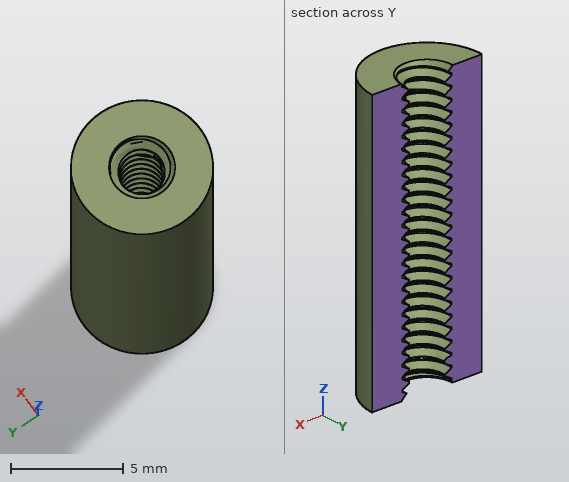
import cadquery as cq
import math

length = 15.88
body_radius = 3.18

pitch = 0.64
minor_radius = 1.02
major_radius = 1.43
root_width = pitch / 8
flank_angle = math.radians(30)
first_groove_depth = 0.13

countersink_radius = 1.48

extra_turns = 1
stock_margin = 3 * pitch
tool_overlap = 0.08


def long_tube():
    """Body and plain bore, extended past both end faces."""
    return (
        cq.Workplane("XY")
        .workplane(offset=-stock_margin)
        .circle(body_radius)
        .circle(minor_radius)
        .extrude(length + 2 * stock_margin)
    )


def groove_cutter():
    """Helical solid of trapezoid section that narrows outward to the thread root."""
    turns = math.ceil(length / pitch) + 2 * extra_turns
    bottom = length - first_groove_depth - (turns - extra_turns) * pitch
    mouth_radius = minor_radius - tool_overlap
    root_half = root_width / 2
    mouth_half = root_half + (major_radius - mouth_radius) * math.tan(flank_angle)

    section = [
        (mouth_radius, -mouth_half),
        (major_radius, -root_half),
        (major_radius, root_half),
        (mouth_radius, mouth_half),
    ]
    edges = [
        cq.Wire.makeHelix(pitch, turns * pitch, radius).translate(cq.Vector(0, 0, bottom + rise))
        for radius, rise in section
    ]
    faces = [cq.Face.makeRuledSurface(edges[i - 1], edges[i]) for i in range(len(edges))]
    for corners in ([e.startPoint() for e in edges], [e.endPoint() for e in edges]):
        faces.append(cq.Face.makeFromWires(cq.Wire.makePolygon(corners, close=True)))
    return cq.Workplane(cq.Solid.makeSolid(cq.Shell.makeShell(faces)).fix())


def top_end_cutter():
    """Everything above the top face together with the countersink cone below it."""
    tip_radius = minor_radius - tool_overlap
    tip_z = length - (countersink_radius - tip_radius)
    outer = body_radius + stock_margin
    roof = length + 2 * stock_margin
    return (
        cq.Workplane("XZ")
        .polyline([
            (0, tip_z),
            (tip_radius, tip_z),
            (countersink_radius, length),
            (outer, length),
            (outer, roof),
            (0, roof),
        ])
        .close()
        .revolve(360, (0, 0, 0), (0, 1, 0))
    )


top_cutter = top_end_cutter()
bottom_cutter = top_cutter.mirror("XY").translate((0, 0, length))
result = long_tube().cut(groove_cutter()).cut(top_cutter).cut(bottom_cutter)